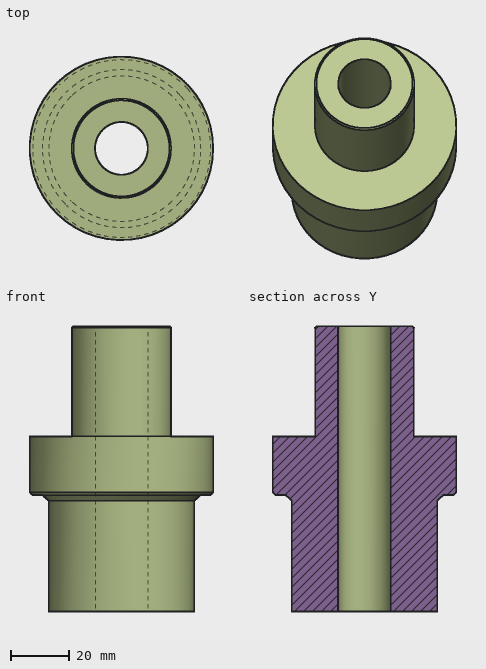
import cadquery as cq

total_height = 98.0
flange_bottom = 40.0
flange_top = 60.2
collar_bottom = 38.0

flange_diameter = 63.0
spigot_diameter = 34.1
body_diameter = 50.0
bore_diameter = 18.0

spigot_chamfer = 0.6
flange_chamfer = 1.0
collar_top_radius = 27.1

flange_radius = flange_diameter / 2
spigot_radius = spigot_diameter / 2
body_radius = body_diameter / 2
bore_radius = bore_diameter / 2

section = (
    cq.Workplane("XZ")
    .moveTo(bore_radius, 0)
    .lineTo(body_radius, 0)
    .lineTo(body_radius, collar_bottom)
    .lineTo(collar_top_radius, flange_bottom)
    .lineTo(flange_radius - flange_chamfer, flange_bottom)
    .lineTo(flange_radius, flange_bottom + flange_chamfer)
    .lineTo(flange_radius, flange_top)
    .lineTo(spigot_radius, flange_top)
    .lineTo(spigot_radius, total_height - spigot_chamfer)
    .lineTo(spigot_radius - spigot_chamfer, total_height)
    .lineTo(bore_radius, total_height)
    .close()
)
result = section.revolve(360, (0, 0, 0), (0, 1, 0))